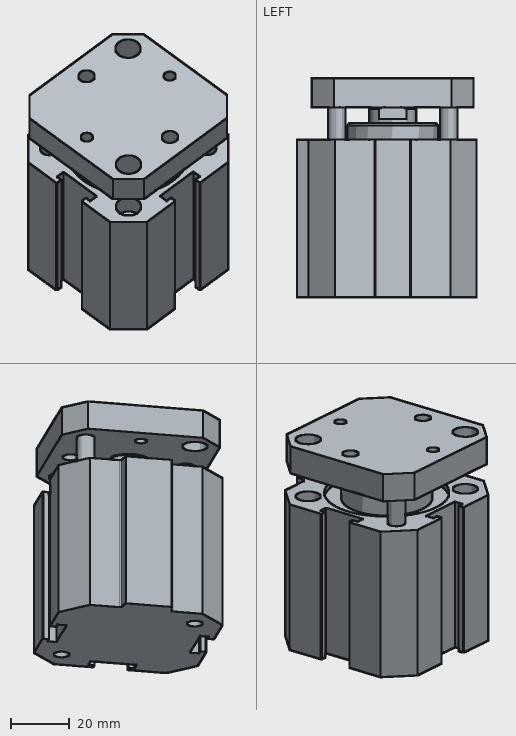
import cadquery as cq
import math

total_height = 74.5
housing_width = 57.0
housing_half = housing_width / 2
housing_height = 53.6
housing_chamfer = 8.95

rib_reach = 4.0
rib_tip_half_width = 8.0
rib_root_half_width = 8.8
rib_root_fillet = 0.6

slot_mouth_half_width = 5.9
slot_mouth_chamfer = 0.3
slot_lip_thickness = 2.15
slot_inner_half_width = 8.0
slot_depth = 5.3

recess_diameter = 42.5
recess_depth = 2.0
collar_diameter = 31.0
collar_rise = 5.65
collar_chamfer = 0.9

corner_offset = 19.0
mount_hole_diameter = 5.3
mount_counterbore_diameter = 8.5
mount_counterbore_depth = 7.0

plate_width = 55.0
plate_thickness = 10.0
plate_chamfer = 7.5
plate_bottom = total_height - plate_thickness
access_hole_diameter = 8.6
plate_hole_offset = 20.0
plate_x_hole_diameter = 5.5
plate_y_hole_diameter = 4.1

guide_rod_diameter = 6.0
piston_rod_diameter = 16.0
piston_rod_chamfer = 0.5
flat_width = 13.0
flat_height = 3.9
rod_end_height = housing_height / 2

mount_points = [(-corner_offset, corner_offset), (corner_offset, -corner_offset)]
guide_points = [(-corner_offset, -corner_offset), (corner_offset, corner_offset)]


def cylinder(diameter, bottom, top, points=((0, 0),)):
    """Upright cylinders between two heights, one at each point."""
    return (
        cq.Workplane("XY", origin=(0, 0, bottom))
        .pushPoints(list(points))
        .circle(diameter / 2)
        .extrude(top - bottom)
    )


def chamfered_block(width, chamfer, bottom, top):
    """Square block with its four upright edges chamfered."""
    height = top - bottom
    block = cq.Workplane("XY", origin=(0, 0, bottom)).rect(width, width).extrude(height)
    return block.edges("|Z").chamfer(chamfer)


def back_rib():
    """Tapered rib on the +Y side, with concave fillets where it meets the side."""
    flank_angle = math.atan2(rib_reach, rib_root_half_width - rib_tip_half_width)
    tangent = rib_root_fillet * math.tan(flank_angle / 2)
    foot = (rib_root_half_width + tangent, housing_half)
    shoulder = (
        rib_root_half_width - tangent * math.cos(flank_angle),
        housing_half + tangent * math.sin(flank_angle),
    )
    tip = (rib_tip_half_width, housing_half + rib_reach)
    middle = (
        foot[0] - rib_root_fillet * math.sin(flank_angle / 2),
        housing_half + rib_root_fillet * (1 - math.cos(flank_angle / 2)),
    )
    base = housing_half - rib_reach
    return (
        cq.Workplane("XY")
        .moveTo(foot[0], base)
        .lineTo(*foot)
        .threePointArc(middle, shoulder)
        .lineTo(*tip)
        .lineTo(-tip[0], tip[1])
        .lineTo(-shoulder[0], shoulder[1])
        .threePointArc((-middle[0], middle[1]), (-foot[0], foot[1]))
        .lineTo(-foot[0], base)
        .close()
        .extrude(housing_height)
    )


def t_slot():
    """Cutter for the full-height T-slot in the -Y side."""
    mouth = -housing_half
    half_outline = [
        (slot_mouth_half_width + slot_mouth_chamfer, mouth),
        (slot_mouth_half_width, mouth + slot_mouth_chamfer),
        (slot_mouth_half_width, mouth + slot_lip_thickness),
        (slot_inner_half_width, mouth + slot_lip_thickness),
        (slot_inner_half_width, mouth + slot_depth),
    ]
    mirrored = [(-x, y) for x, y in reversed(half_outline)]
    return cq.Workplane("XY").polyline(half_outline + mirrored).close().extrude(housing_height)


def make_housing():
    housing = chamfered_block(housing_width, housing_chamfer, 0, housing_height)
    housing = housing.union(back_rib())
    for turn in (-90, 0, 90):
        housing = housing.cut(t_slot().rotate((0, 0, 0), (0, 0, 1), turn))

    recess_floor = housing_height - recess_depth
    housing = housing.cut(cylinder(recess_diameter, recess_floor, housing_height))
    collar = cylinder(collar_diameter, recess_floor, housing_height + collar_rise)
    housing = housing.union(collar.faces(">Z").chamfer(collar_chamfer))

    housing = housing.cut(cylinder(piston_rod_diameter, rod_end_height, total_height))
    housing = housing.cut(cylinder(guide_rod_diameter, rod_end_height, total_height, guide_points))

    counterbore_floor = housing_height - mount_counterbore_depth
    housing = housing.cut(cylinder(mount_hole_diameter, 0, housing_height, mount_points))
    return housing.cut(
        cylinder(mount_counterbore_diameter, counterbore_floor, housing_height, mount_points)
    )


def piston_rod():
    """Rod under the plate, with two wrench flats that face -X and +X."""
    rod = cylinder(piston_rod_diameter, rod_end_height, plate_bottom)
    rod = rod.faces(">Z").chamfer(piston_rod_chamfer)
    flat_depth = (piston_rod_diameter - flat_width) / 2
    flat_centre = (flat_width + flat_depth) / 2
    flats = (
        cq.Workplane("XY", origin=(0, 0, plate_bottom - flat_height))
        .pushPoints([(-flat_centre, 0), (flat_centre, 0)])
        .rect(flat_depth, piston_rod_diameter)
        .extrude(flat_height)
    )
    return rod.cut(flats)


def make_slide():
    """Plate, guide rods and piston rod that move as one body."""
    x_holes = [(-plate_hole_offset, 0), (plate_hole_offset, 0)]
    y_holes = [(0, -plate_hole_offset), (0, plate_hole_offset)]
    slide = chamfered_block(plate_width, plate_chamfer, plate_bottom, total_height)
    for diameter, points in (
        (access_hole_diameter, mount_points),
        (plate_x_hole_diameter, x_holes),
        (plate_y_hole_diameter, y_holes),
    ):
        slide = slide.cut(cylinder(diameter, plate_bottom, total_height, points))
    slide = slide.union(cylinder(guide_rod_diameter, rod_end_height, plate_bottom, guide_points))
    return slide.union(piston_rod())


housing = make_housing()
slide = make_slide()
result = cq.Compound.makeCompound([housing.val(), slide.val()])